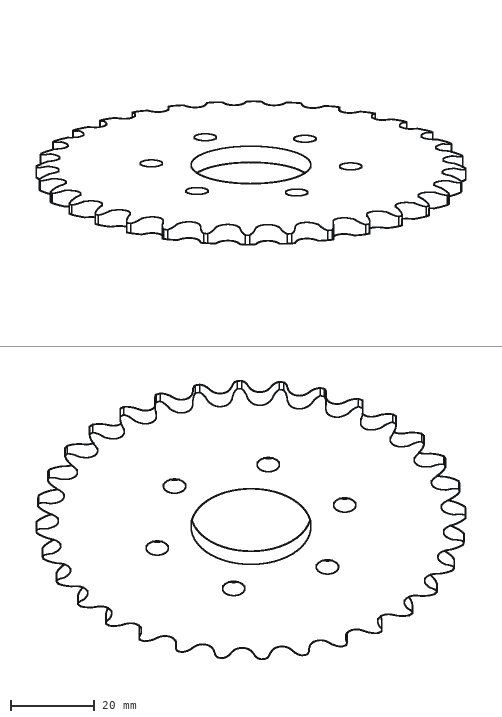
import cadquery as cq
import math


tooth_count = 32
outer_width = 102.1
pitch_diameter = 97.1
thickness = 4.1
tip_thickness = 2.5
chamfer_start_radius = 48.5
bore_diameter = 28.6
bolt_circle_diameter = 47.6
bolt_hole_diameter = 5.3
bolt_hole_count = 6
rim_overrun = 1.0
seat_clearance = 0.05

roller_to_pitch = 8 / 15
working_offset_ratio = 0.8
topping_offset_ratio = 1.4
seat_angle = math.radians(35 + 60 / tooth_count)
flank_angle = math.radians(17 + 116 / tooth_count)

pitch_radius = pitch_diameter / 2
tooth_angle = 360 / tooth_count
half_tooth = math.radians(tooth_angle / 2)
chain_pitch = pitch_diameter * math.sin(half_tooth)
roller_diameter = roller_to_pitch * chain_pitch

seat_radius = roller_diameter / 2 + seat_clearance
working_offset = working_offset_ratio * roller_diameter
working_radius = seat_radius + working_offset
topping_offset = topping_offset_ratio * roller_diameter


def polar(center, radius, angle):
    """Point at a radius and an angle (radians, from +X) about a centre."""
    return (center[0] + radius * math.cos(angle), center[1] + radius * math.sin(angle))


def mirror(point):
    """Reflect a point across the gap's centre line, the Y axis."""
    return (-point[0], point[1])


def rotate(point, degrees):
    """Turn a point about the sprocket axis."""
    turn = math.radians(degrees)
    x, y = point
    return (x * math.cos(turn) - y * math.sin(turn), x * math.sin(turn) + y * math.cos(turn))


roller_center = (0, pitch_radius)
working_center = polar(roller_center, working_offset, math.pi - seat_angle)
topping_center = polar(roller_center, topping_offset, -half_tooth)

seat_bottom = polar(roller_center, seat_radius, -math.pi / 2)
seat_end = polar(roller_center, seat_radius, -seat_angle)
working_mid = polar(working_center, working_radius, -(seat_angle + flank_angle) / 2)
working_end = polar(working_center, working_radius, -flank_angle)

flank_normal = (math.cos(flank_angle), -math.sin(flank_angle))
topping_radius = (
    (topping_center[0] - working_end[0]) * flank_normal[0]
    + (topping_center[1] - working_end[1]) * flank_normal[1]
)
topping_start_angle = math.pi - flank_angle
topping_start = polar(topping_center, topping_radius, topping_start_angle)

tip_angle = math.pi - math.asin((outer_width / 2 - topping_center[1]) / topping_radius)
tip_corner = polar(topping_center, topping_radius, tip_angle)
topping_mid = polar(topping_center, topping_radius, (topping_start_angle + tip_angle) / 2)
tip_radius = math.hypot(*tip_corner)
tip_mid = polar((0, 0), tip_radius, math.pi / 2 - half_tooth)


def sprocket_outline():
    """Closed outline, running clockwise gap by gap."""
    outline = cq.Workplane("XY").moveTo(*mirror(tip_corner))
    for gap in range(tooth_count):
        turn = -gap * tooth_angle

        def at(point):
            return rotate(point, turn)

        outline = (
            outline
            .threePointArc(at(mirror(topping_mid)), at(mirror(topping_start)))
            .lineTo(*at(mirror(working_end)))
            .threePointArc(at(mirror(working_mid)), at(mirror(seat_end)))
            .threePointArc(at(seat_bottom), at(seat_end))
            .threePointArc(at(working_mid), at(working_end))
            .lineTo(*at(topping_start))
            .threePointArc(at(topping_mid), at(tip_corner))
            .threePointArc(at(tip_mid), rotate(mirror(tip_corner), turn - tooth_angle))
        )
    return outline.close()


def chamfered_disc():
    """Disc whose rim tapers from the full thickness to the tip thickness."""
    taper = (thickness - tip_thickness) / 2 / (tip_radius - chamfer_start_radius)
    rim_radius = tip_radius + rim_overrun
    rim_height = tip_thickness / 2 - taper * rim_overrun
    half = thickness / 2
    section = [
        (0, -half),
        (chamfer_start_radius, -half),
        (rim_radius, -rim_height),
        (rim_radius, rim_height),
        (chamfer_start_radius, half),
        (0, half),
    ]
    return cq.Workplane("XZ").polyline(section).close().revolve(360, (0, 0), (0, 1))


toothed_plate = sprocket_outline().extrude(thickness / 2, both=True).intersect(chamfered_disc())

bore = cq.Workplane("XY").circle(bore_diameter / 2).extrude(thickness, both=True)
bolt_holes = (
    cq.Workplane("XY")
    .polarArray(bolt_circle_diameter / 2, 0, 360, bolt_hole_count)
    .circle(bolt_hole_diameter / 2)
    .extrude(thickness, both=True)
)

result = toothed_plate.cut(bore).cut(bolt_holes)